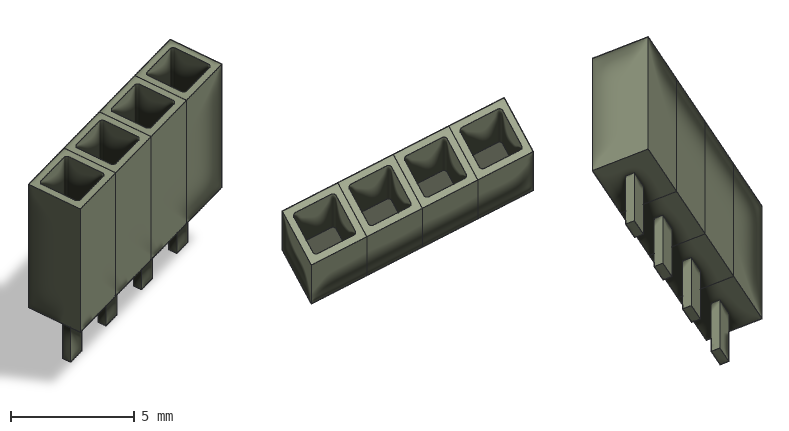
import cadquery as cq

contact_count = 4
pitch = 2.54
row_length = contact_count * pitch

housing_height = 7.0
wall = 0.3
cavity_side = pitch - 2 * wall
cavity_corner_radius = 0.15
floor_thickness = 1.0
cavity_depth = housing_height - floor_thickness

pin_thickness = 0.4
pin_width = 0.8
pin_length = 3.0


def make_housing(y):
    """Square housing centred at y, standing on Z = 0 and open at the top."""
    block = cq.Workplane("XY").box(pitch, pitch, housing_height, centered=(True, True, False))
    cavity = (
        cq.Workplane("XY")
        .workplane(offset=floor_thickness)
        .rect(cavity_side, cavity_side)
        .extrude(cavity_depth)
        .edges("|Z")
        .fillet(cavity_corner_radius)
    )
    return block.cut(cavity).translate((0, y, 0))


def make_pin(y):
    """Rectangular pin centred at y, with its top against the housing floor."""
    pin = cq.Workplane("XY").box(pin_thickness, pin_width, pin_length, centered=(True, True, False))
    return pin.translate((0, y, -pin_length))


first_y = (pitch - row_length) / 2
contact_positions = [first_y + i * pitch for i in range(contact_count)]

housings = [make_housing(y) for y in contact_positions]
pins = [make_pin(y) for y in contact_positions]

result = cq.Compound.makeCompound([body.val() for body in housings + pins])